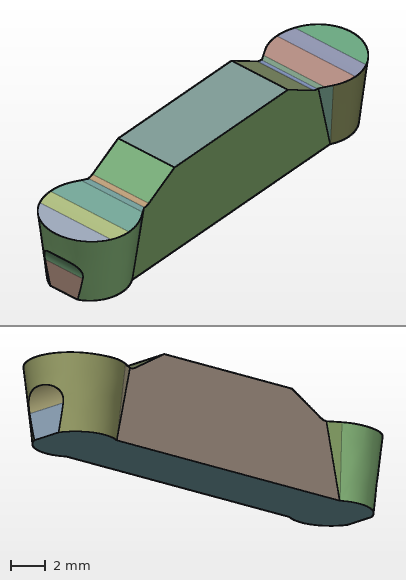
import cadquery as cq
import math

length = 25.82
body_width = 4.29
body_height = 5.96

head_seat_radius = 3.0
head_bottom_radius = 2.48
flank_angle = math.radians(30)
seat_height = 4.57
rim_height = 4.65
head_taper = (head_seat_radius - head_bottom_radius) / seat_height
head_rim_radius = head_bottom_radius + head_taper * rim_height
head_center = length / 2 - head_rim_radius

rim_land = 1.75
valley = head_rim_radius
valley_dip = 0.018
seat_end = 4.93
ramp_arc_start = 5.35
ramp_end = 7.95
ramp_angle = math.radians(30)
ramp_arc_tangent = (ramp_end - ramp_arc_start
                    - (body_height - seat_height) / math.tan(ramp_angle))

relief_depth = 0.75
relief_flat_height = 1.7
relief_arc_radius = 1.63
relief_arc_angle = math.radians(50)


def teardrop(radius, height):
    """Closed outline: a round tip with two tangent flanks meeting inside the bar."""
    tangent_x = radius * math.cos(flank_angle)
    tangent_y = head_center - radius * math.sin(flank_angle)
    apex_y = head_center - radius / math.sin(flank_angle)
    return (
        cq.Workplane("XY", origin=(0, 0, height))
        .moveTo(0, apex_y)
        .lineTo(tangent_x, tangent_y)
        .threePointArc((0, head_center + radius), (-tangent_x, tangent_y))
        .close()
        .val()
    )


def head():
    """Tapered head at the +Y end, with the relief cut under its tip."""
    wires = [teardrop(head_bottom_radius, 0), teardrop(head_rim_radius, rim_height)]
    blank = cq.Workplane(cq.Solid.makeLoft(wires, True))
    return blank.cut(relief())


def relief():
    """Vertical flat that curves outward at its top."""
    flat_y = length / 2 - relief_depth

    def arc_point(angle):
        return (
            flat_y + relief_arc_radius * (1 - math.cos(angle)),
            relief_flat_height + relief_arc_radius * math.sin(angle),
        )

    end_y, end_z = arc_point(relief_arc_angle)
    return (
        cq.Workplane("YZ")
        .moveTo(flat_y, 0)
        .lineTo(flat_y, relief_flat_height)
        .threePointArc(arc_point(relief_arc_angle / 2), (end_y, end_z))
        .lineTo(length / 2, end_z)
        .lineTo(length / 2, 0)
        .close()
        .extrude(head_rim_radius, both=True)
    )


def side_profile(half_width):
    """Solid below the rim, seat and ramp, from the middle of the bar to the +Y tip."""
    tip = length / 2
    arc_end = ramp_arc_start + ramp_arc_tangent * (1 + math.cos(ramp_angle))
    arc_end_height = seat_height + ramp_arc_tangent * math.sin(ramp_angle)
    return (
        cq.Workplane("YZ")
        .moveTo(0, 0)
        .lineTo(tip, 0)
        .lineTo(tip, rim_height)
        .lineTo(tip - rim_land, seat_height)
        .tangentArcPoint((tip - valley, seat_height - valley_dip), relative=False)
        .tangentArcPoint((tip - seat_end, seat_height), relative=False)
        .lineTo(tip - ramp_arc_start, seat_height)
        .tangentArcPoint((tip - arc_end, arc_end_height), relative=False)
        .lineTo(tip - ramp_end, body_height)
        .lineTo(0, body_height)
        .close()
        .extrude(half_width, both=True)
    )


def half_insert():
    """The half of the insert on the +Y side."""
    bar_length = head_center - head_bottom_radius * math.sin(flank_angle)
    bar = cq.Workplane("XY").box(body_width, bar_length, body_height, centered=(True, False, False))
    return bar.union(head()).intersect(side_profile(head_rim_radius))


half = half_insert()
result = half.union(half.mirror("XZ"))